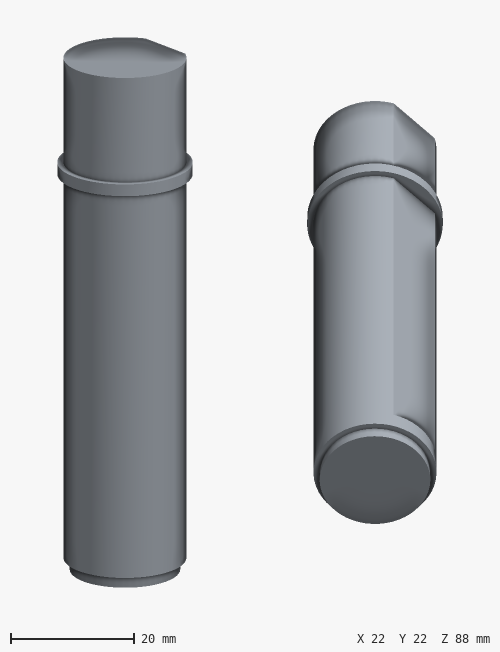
import cadquery as cq

total_length = 88.0
body_diameter = 20.0
tip_diameter = 17.95
tip_length = 2.0
collar_diameter = 22.0
collar_bottom = 68.0
collar_thickness = 2.0
flat_start = 5.0
flat_offset = 8.7


def cylinder(diameter, bottom, height):
    """Upright cylinder on the main axis."""
    return cq.Workplane("XY").workplane(offset=bottom).circle(diameter / 2).extrude(height)


tip = cylinder(tip_diameter, 0, tip_length)
body = cylinder(body_diameter, tip_length, total_length - tip_length)

flat_cutter = (
    cq.Workplane("XY")
    .box(body_diameter, body_diameter, total_length - flat_start, centered=(True, False, False))
    .translate((0, flat_offset, flat_start))
)
flatted_body = body.cut(flat_cutter)

collar = cylinder(collar_diameter, collar_bottom, collar_thickness)

result = flatted_body.union(tip).union(collar)